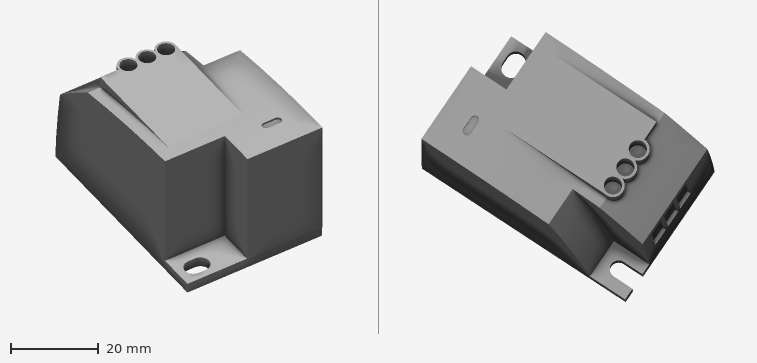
import cadquery as cq
import math

length = 56.05
width = 36.5
height = 33.0
base_thickness = 2.65
base_length = 55.85

nose_top = (1.95, 20.25)
nose_bulge = 0.3
shoulder_top = (13.75, 29.55)
shoulder_bulge = 0.2
roof_drop = height - shoulder_top[1]
roof_run = length - shoulder_top[0]
roof_radius = (roof_run**2 + roof_drop**2) / (2 * roof_drop)

front_tab_x = 46.35
front_tab_width = 16.15
rear_tab_y = 26.65
rear_wall_foot_x = 9.8
rear_wall_top_x = 21.15
rear_wall_bulge = 0.9

open_slot_center = (5.25, 31.45)
open_slot_width = 4.1
closed_slot_center = (51.7, 5.2)
closed_slot_length = 6.5
closed_slot_width = 4.6
recess_center = (48.4, 27.65)
recess_length = 5.15
recess_width = 2.0
recess_depth = 0.55

pad_end_x = 42.7
pad_front_y = 3.35
pad_rear_y = 23.8
socket_radius = 2.7
socket_bore_radius = 2.1
socket_depth = 5.6
socket_pitch = 5.1
middle_socket_y = 16.1
window_width = 4.2
window_bottom = 9.65
window_top = 18.5
window_depth = 0.9

socket_rows = [middle_socket_y + i * socket_pitch for i in (-1, 0, 1)]


def roof_z(x):
    """Height of the arched roof, which is level at the far end."""
    return height - roof_radius + math.sqrt(roof_radius**2 - (length - x)**2)


def bulged_middle(start, end, bulge):
    """Middle point of an arc that bows to the left of the line from start to end."""
    dx = end[0] - start[0]
    dz = end[1] - start[1]
    chord = math.hypot(dx, dz)
    middle_x = (start[0] + end[0]) / 2 - bulge * dz / chord
    middle_z = (start[1] + end[1]) / 2 + bulge * dx / chord
    return (middle_x, middle_z)


def block(x0, x1, y0, y1, z0, z1):
    """Box given by its limits along each axis."""
    return cq.Workplane("XY").box(x1 - x0, y1 - y0, z1 - z0, centered=False).translate((x0, y0, z0))


def make_housing():
    roof_middle_x = (shoulder_top[0] + length) / 2
    return (
        cq.Workplane("XZ")
        .moveTo(0, 0)
        .threePointArc(bulged_middle((0, 0), nose_top, nose_bulge), nose_top)
        .threePointArc(bulged_middle(nose_top, shoulder_top, shoulder_bulge), shoulder_top)
        .threePointArc((roof_middle_x, roof_z(roof_middle_x)), (length, height))
        .lineTo(length, base_thickness)
        .lineTo(base_length, base_thickness)
        .lineTo(base_length, 0)
        .close()
        .extrude(-width)
    )


def rear_corner_cutout():
    foot = (rear_wall_foot_x, base_thickness)
    top = (rear_wall_top_x, roof_z(rear_wall_top_x))
    return (
        cq.Workplane("XZ", origin=(0, rear_tab_y, 0))
        .moveTo(0, base_thickness)
        .lineTo(*foot)
        .threePointArc(bulged_middle(foot, top, rear_wall_bulge), top)
        .lineTo(rear_wall_top_x, height)
        .lineTo(0, height)
        .close()
        .extrude(rear_tab_y - width)
    )


def upright_slot(center, slot_length, slot_width, z0, z1):
    """Round-ended slot running along Y."""
    return (
        cq.Workplane("XY", origin=(*center, z0))
        .slot2D(slot_length, slot_width, 90)
        .extrude(z1 - z0)
    )


def open_slot():
    x, y = open_slot_center
    radius = open_slot_width / 2
    round_end = cq.Workplane("XY").center(x, y).circle(radius).extrude(base_thickness)
    return round_end.union(block(0, x, y - radius, y + radius, 0, base_thickness))


def add_pad_and_sockets(body):
    pad_start_x = shoulder_top[0]
    pad_top = roof_z(pad_end_x)
    root_z = pad_top - socket_depth - socket_radius
    centers = [(pad_start_x, y) for y in socket_rows]
    sockets = cq.Workplane("XY", origin=(0, 0, root_z)).pushPoints(centers)
    tubes = sockets.circle(socket_radius).extrude(pad_top - root_z)
    bores = (
        cq.Workplane("XY", origin=(0, 0, pad_top - socket_depth))
        .pushPoints(centers)
        .circle(socket_bore_radius)
        .extrude(socket_depth)
    )
    pad = block(pad_start_x, pad_end_x, pad_front_y, pad_rear_y, root_z, pad_top)
    return body.union(pad).union(tubes).cut(bores)


def window(y):
    """Shallow pocket square to the leaning nose face."""
    lean = math.degrees(math.atan2(*nose_top))
    middle_z = (window_bottom + window_top) / 2
    arc_middle = bulged_middle((0, 0), nose_top, nose_bulge)
    face_x = arc_middle[0] + (middle_z - arc_middle[1]) * nose_top[0] / nose_top[1]
    pocket = cq.Workplane("XY").box(2 * window_depth, window_width, window_top - window_bottom)
    return pocket.rotate((0, 0, 0), (0, 1, 0), lean).translate((face_x, y, middle_z))


result = make_housing()
result = result.cut(block(front_tab_x, length, 0, front_tab_width, base_thickness, height))
result = result.cut(rear_corner_cutout())
result = result.cut(open_slot())
result = result.cut(upright_slot(closed_slot_center, closed_slot_length, closed_slot_width, 0, base_thickness))
recess_floor = roof_z(recess_center[0]) - recess_depth
result = result.cut(upright_slot(recess_center, recess_length, recess_width, recess_floor, height))
result = add_pad_and_sockets(result)
for row_y in socket_rows:
    result = result.cut(window(row_y))